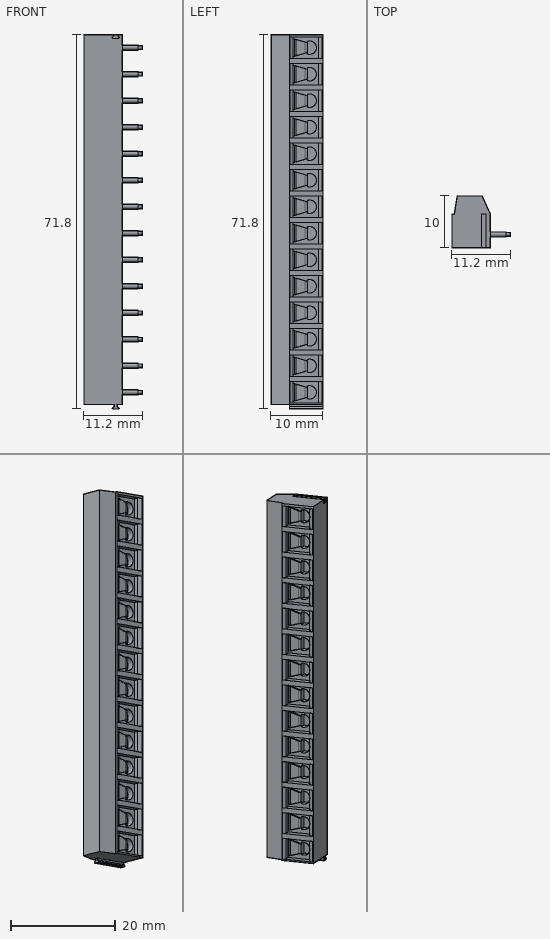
import cadquery as cq

terminal_count = 14
terminal_span = 66.1
pitch = terminal_span / (terminal_count - 1)
total_height = 71.8
rib_height = 0.85
body_height = total_height - rib_height
body_base = rib_height
total_length = 11.2

body_depth = 7.4
body_width = 10.0
shoulder_y = 6.45
step_x = 0.4
top_left_x = 1.0
top_right_x = 5.8

coupling_x = 6.1
rib_profile = dict(neck=0.32, widest=0.68, foot=0.5, height=rib_height)
groove_profile = dict(neck=0.4, widest=0.7, foot=0.6, height=0.7)
neck_share = 0.4
flare_share = 0.8

end_margin = 2.5
pocket_height = 4.1
pocket_depth = 1.45
pocket_low_y = 0.2
floor_low_y = 0.9
floor_high_y = 5.75
pocket_high_y = 6.4
lip_depth = 0.2
chamfer_depth = 0.4

lever_rise = 0.35
lever_wide = 3.45
lever_narrow = 1.9
lever_steep_end_y = 5.45
lever_flat_start_y = 5.2
lever_flat_end_y = 3.45
lever_end_y = 3.0
lever_bevel = 0.11
wire_hole_radius = 1.3
wire_hole_y = 2.6
wire_hole_depth = 1.45

pin_y = wire_hole_y
pin_diameter = 1.0
tip_diameter = 0.8
tip_length = 0.85
shank_length = total_length - body_depth - tip_length

terminal_zs = [total_height - end_margin - i * pitch for i in range(terminal_count)]


def make_body():
    outline = [
        (0, 0),
        (body_depth, 0),
        (body_depth, shoulder_y),
        (top_right_x, body_width),
        (top_left_x, body_width),
        (step_x, shoulder_y),
        (0, shoulder_y),
    ]
    return cq.Workplane("XY").workplane(offset=body_base).polyline(outline).close().extrude(body_height)


def make_coupling(top_z, neck, widest, foot, height):
    """Arrow-headed bar hanging below top_z, running along Y; widths are half-widths."""
    half = [
        (neck, 0),
        (neck, neck_share * height),
        (widest, flare_share * height),
        (foot, height),
    ]
    right = [(coupling_x + w, top_z - d) for w, d in half]
    left = [(coupling_x - w, top_z - d) for w, d in reversed(half)]
    return cq.Workplane("XZ").polyline(right + left).close().extrude(-shoulder_y)


def make_pocket(z):
    section = [
        (0, pocket_low_y),
        (chamfer_depth, floor_low_y),
        (pocket_depth, floor_low_y),
        (pocket_depth, floor_high_y),
        (lip_depth, floor_high_y),
        (0, pocket_high_y),
    ]
    start = z - pocket_height / 2
    return cq.Workplane("XY").workplane(offset=start).polyline(section).close().extrude(pocket_height)


def make_lever(z):
    """Raised tapered plate: bevelled side profile trimmed by a trapezoid."""
    crest_x = pocket_depth - lever_rise
    side = [
        (pocket_depth, floor_high_y),
        (crest_x + lever_bevel, lever_steep_end_y),
        (crest_x, lever_flat_start_y),
        (crest_x, lever_flat_end_y),
        (crest_x + lever_bevel, lever_end_y),
        (pocket_depth, lever_end_y),
    ]
    face = [
        (floor_high_y, z - lever_wide / 2),
        (floor_high_y, z + lever_wide / 2),
        (lever_end_y, z + lever_narrow / 2),
        (lever_end_y, z - lever_narrow / 2),
    ]
    start = z - lever_wide / 2
    bar = cq.Workplane("XY").workplane(offset=start).polyline(side).close().extrude(lever_wide)
    taper = cq.Workplane("YZ").polyline(face).close().extrude(pocket_depth)
    return bar.intersect(taper)


def make_wire_hole(z):
    """Round hole, cut off flat where the lever ends."""
    hole = (
        cq.Workplane("YZ", origin=(pocket_depth, wire_hole_y, z))
        .circle(wire_hole_radius)
        .extrude(wire_hole_depth)
    )
    keep_side = 2 * wire_hole_radius
    keep = cq.Workplane("XY").box(wire_hole_depth, keep_side, keep_side, centered=(False, False, True))
    return hole.intersect(keep.translate((pocket_depth, lever_end_y - keep_side, z)))


def make_pin(z):
    return (
        cq.Workplane("YZ", origin=(body_depth, pin_y, z))
        .circle(pin_diameter / 2)
        .extrude(shank_length)
        .faces(">X")
        .workplane()
        .circle(tip_diameter / 2)
        .extrude(tip_length)
    )


result = make_body()
result = result.union(make_coupling(body_base, **rib_profile))
result = result.cut(make_coupling(total_height, **groove_profile))
for terminal_z in terminal_zs:
    result = result.cut(make_pocket(terminal_z))
    result = result.union(make_lever(terminal_z))
    result = result.cut(make_wire_hole(terminal_z))
    result = result.union(make_pin(terminal_z))